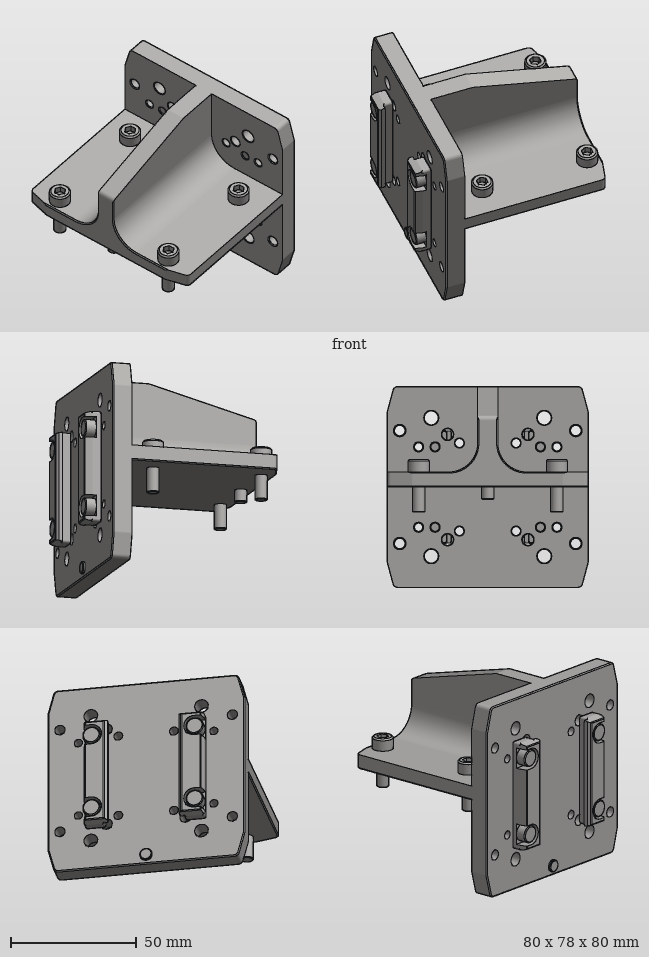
import cadquery as cq
import math

PLATE_SIZE = 80
PLATE_THICKNESS = 8
EDGE_CHAMFER = 0.5

BEVEL_ANGLE = 15
BEVEL_LENGTH = 10.0
BEVEL_DEPTH = BEVEL_LENGTH * math.tan(math.radians(BEVEL_ANGLE))
CORNER_RADIUS = 2.0

OVERALL_DEPTH = 78.0
CLAMP_HEIGHT = 7.0
FRONT_Y = CLAMP_HEIGHT - OVERALL_DEPTH
FLANGE_THICKNESS = 6.0
RIB_THICKNESS = 8
RIB_FILLET = 11.5
RIB_SLOPE_START_Y = -26.0
RIB_FRONT_Z = PLATE_SIZE / 2 - (RIB_SLOPE_START_Y - FRONT_Y) * math.tan(math.radians(BEVEL_ANGLE))
OVERLAP = 1.6

PLATE_HOLES = [
    (22.5, 27.5, 5.5, 6.0),
    (16, 21.0, 4.5, 5.0),
    (11.3, 17.5, 3.5, 4),
    (35.0, 22.5, 4.2, 5.0),
    (27.5, 16, 3.3, 4),
]

CLAMP_SCREW_X = 21.0
CLAMP_SCREW_Z = 16
CLAMP_SCREW_TIP_DIAMETER = 3.3
CLAMP_SCREW_MOUTH_DIAMETER = 4
CLAMP_HEAD_DIAMETER = 7.0
CLAMP_HEAD_TOP = 6.6
CLAMP_HEAD_CHAMFER = 0.4
CLAMP_POCKET_WIDTH = 8.5
CLAMP_POCKET_FLOOR = 2.2
CLAMP_LENGTH = 45.0
CLAMP_INNER_X = 16.2
CLAMP_OUTER_X = 24.5
CLAMP_LIP_X = 14.5
CLAMP_LIP_BOTTOM = 4.2
CLAMP_LIP_TOP = 5.8
CLAMP_TOP_INNER_X = 15.7
CLAMP_TAPER_START = 3.6
CLAMP_TAPER = (CLAMP_HEIGHT - CLAMP_TAPER_START) * math.tan(math.radians(BEVEL_ANGLE))
CLAMP_CORNER_RADIUS = 1.0
CLAMP_EDGE_CHAMFER = 0.3

SCREW_X = 27.5
SCREW_ROWS_Y = (-20.5, -65.5)
HEAD_DIAMETER = 8.5
HEAD_HEIGHT = 5.0
HEAD_CHAMFER = 0.6
SHANK_DIAMETER = 5.0
SHANK_END_Z = -10.0
SHANK_CHAMFER = 0.3
SOCKET_WIDTH = 4
SOCKET_DEPTH = 2.5

PIN_DIAMETER = 5.0
PIN_CHAMFER = 0.3
FLANGE_PIN_LENGTH = 5.0
FLANGE_PIN_Y = SCREW_ROWS_Y[1]
PLATE_PIN_LENGTH = 1.0
PLATE_PIN_Z = -36


def xz_plane(y):
    """Sketch plane facing -Y at the given Y, with local x = X and local y = Z."""
    return cq.Workplane("XZ", origin=(0, y, 0))


def make_plate():
    half = PLATE_SIZE / 2
    corner_x = half - BEVEL_DEPTH
    bevel_z = half - BEVEL_LENGTH
    outline = [
        (corner_x, half), (half, bevel_z), (half, -bevel_z), (corner_x, -half),
        (-corner_x, -half), (-half, -bevel_z), (-half, bevel_z), (-corner_x, half),
    ]
    plate = xz_plane(0).polyline(outline).close().extrude(PLATE_THICKNESS)
    return plate.edges("|Y").fillet(CORNER_RADIUS).faces(">Y").chamfer(EDGE_CHAMFER)


def make_bracket_section():
    """Flange and rib as one inverted T with filleted inner corners."""
    half = PLATE_SIZE / 2
    rib_x = RIB_THICKNESS / 2
    arc_x = rib_x + RIB_FILLET
    arc_z = FLANGE_THICKNESS + RIB_FILLET
    section = (
        xz_plane(OVERLAP - PLATE_THICKNESS)
        .moveTo(-half, 0)
        .lineTo(half, 0)
        .lineTo(half, FLANGE_THICKNESS)
        .lineTo(arc_x, FLANGE_THICKNESS)
        .radiusArc((rib_x, arc_z), RIB_FILLET)
        .lineTo(rib_x, half)
        .lineTo(-rib_x, half)
        .lineTo(-rib_x, arc_z)
        .radiusArc((-arc_x, FLANGE_THICKNESS), RIB_FILLET)
        .lineTo(-half, FLANGE_THICKNESS)
        .close()
        .extrude(OVERLAP - PLATE_THICKNESS - FRONT_Y)
    )
    return section.faces("<Y").chamfer(EDGE_CHAMFER)


def make_bracket_plan():
    """Plan outline of the flange with bevelled front corners and a chamfered underside."""
    half = PLATE_SIZE / 2
    back_y = OVERLAP - PLATE_THICKNESS
    bevel_x = half - BEVEL_LENGTH
    bevel_y = FRONT_Y + BEVEL_DEPTH
    outline = [
        (-half, back_y), (-half, bevel_y), (-bevel_x, FRONT_Y),
        (bevel_x, FRONT_Y), (half, bevel_y), (half, back_y),
    ]
    plan = cq.Workplane("XY").polyline(outline).close().extrude(half)
    plan = plan.edges("|Z and (not >Y)").fillet(CORNER_RADIUS)
    return plan.faces("<Z").chamfer(EDGE_CHAMFER)


def make_bracket_profile():
    """Side outline of the rib with its sloped top."""
    half = PLATE_SIZE / 2
    back_y = OVERLAP - PLATE_THICKNESS
    outline = [(back_y, 0), (back_y, half), (RIB_SLOPE_START_Y, half), (FRONT_Y, RIB_FRONT_Z), (FRONT_Y, 0)]
    profile = cq.Workplane("YZ").polyline(outline).close().extrude(half, both=True)
    return profile.edges("|X and (not <Z) and (not >Y)").fillet(CORNER_RADIUS)


def make_bracket():
    return make_bracket_section().intersect(make_bracket_plan()).intersect(make_bracket_profile())


def make_flange_screw():
    """Socket head screw standing on Z, with the underside of its head at Z = 0."""
    shank_length = FLANGE_THICKNESS - SHANK_END_Z
    head = cq.Workplane("XY").circle(HEAD_DIAMETER / 2).extrude(HEAD_HEIGHT)
    head = head.faces(">Z").chamfer(HEAD_CHAMFER)
    shank = cq.Workplane("XY").circle(SHANK_DIAMETER / 2).extrude(-shank_length)
    shank = shank.faces("<Z").chamfer(SHANK_CHAMFER)
    corner_diameter = SOCKET_WIDTH / math.cos(math.pi / 6)
    socket_floor = HEAD_HEIGHT - SOCKET_DEPTH
    socket = cq.Workplane("XY", origin=(0, 0, socket_floor)).polygon(6, corner_diameter).extrude(SOCKET_DEPTH)
    cone_radius = SOCKET_WIDTH / 2
    cone_depth = cone_radius * math.tan(math.pi / 6)
    cone = cq.Solid.makeCone(cone_radius, 0, cone_depth, cq.Vector(0, 0, socket_floor), cq.Vector(0, 0, -1))
    return head.union(shank).cut(socket).cut(cq.Workplane(cone))


def make_pin(length):
    """Chamfered pin end pointing along +Z from a root sunk below Z = 0."""
    pin = cq.Workplane("XY", origin=(0, 0, -OVERLAP)).circle(PIN_DIAMETER / 2).extrude(length + OVERLAP)
    return pin.faces(">Z").chamfer(PIN_CHAMFER)


def make_clamp():
    """Hooked rail on the +X side, running along Z, with a pocketed screw head near each end."""
    base = cq.Workplane("XZ").center((CLAMP_INNER_X + CLAMP_OUTER_X) / 2, 0)
    base = base.rect(CLAMP_OUTER_X - CLAMP_INNER_X, CLAMP_LENGTH).extrude(-CLAMP_HEIGHT)
    base = base.edges("|Y").fillet(CLAMP_CORNER_RADIUS).faces("<Y").chamfer(CLAMP_EDGE_CHAMFER)

    lip_outline = [
        (CLAMP_OUTER_X - CLAMP_CORNER_RADIUS, CLAMP_LIP_BOTTOM), (CLAMP_LIP_X, CLAMP_LIP_BOTTOM),
        (CLAMP_LIP_X, CLAMP_LIP_TOP), (CLAMP_TOP_INNER_X, CLAMP_HEIGHT),
        (CLAMP_OUTER_X - CLAMP_CORNER_RADIUS, CLAMP_HEIGHT),
    ]
    lip = cq.Workplane("XY").polyline(lip_outline).close().extrude(CLAMP_LENGTH / 2, both=True)
    lip = lip.edges("|Y and <X").fillet(CLAMP_CORNER_RADIUS)
    rail = base.union(lip)

    outer_taper = [
        (CLAMP_OUTER_X, CLAMP_TAPER_START), (CLAMP_OUTER_X, CLAMP_HEIGHT),
        (CLAMP_OUTER_X - CLAMP_TAPER, CLAMP_HEIGHT),
    ]
    rail = rail.cut(cq.Workplane("XY").polyline(outer_taper).close().extrude(CLAMP_LENGTH, both=True))
    for side in (-1, 1):
        end_z = side * CLAMP_LENGTH / 2
        end_taper = [
            (CLAMP_TAPER_START, end_z), (CLAMP_HEIGHT, end_z),
            (CLAMP_HEIGHT, end_z - side * CLAMP_TAPER),
        ]
        rail = rail.cut(cq.Workplane("YZ").polyline(end_taper).close().extrude(PLATE_SIZE))

    rail = rail.faces(">Y").chamfer(CLAMP_EDGE_CHAMFER)

    screw_points = [(CLAMP_SCREW_X, CLAMP_SCREW_Z), (CLAMP_SCREW_X, -CLAMP_SCREW_Z)]
    pocket_depth = CLAMP_HEIGHT - CLAMP_POCKET_FLOOR
    round_end = xz_plane(CLAMP_POCKET_FLOOR).pushPoints(screw_points)
    round_end = round_end.circle(CLAMP_POCKET_WIDTH / 2).extrude(-pocket_depth)
    opening_points = [(x + CLAMP_POCKET_WIDTH / 2, z) for x, z in screw_points]
    opening = xz_plane(CLAMP_POCKET_FLOOR).pushPoints(opening_points)
    opening = opening.rect(CLAMP_POCKET_WIDTH, CLAMP_POCKET_WIDTH).extrude(-pocket_depth)
    heads = xz_plane(CLAMP_POCKET_FLOOR).pushPoints(screw_points)
    heads = heads.circle(CLAMP_HEAD_DIAMETER / 2).extrude(CLAMP_POCKET_FLOOR - CLAMP_HEAD_TOP)
    heads = heads.faces(">Y").chamfer(CLAMP_HEAD_CHAMFER)
    return rail.cut(round_end).cut(opening).union(heads)


def in_quadrants(x, z):
    return [(x, z), (-x, z), (-x, -z), (x, -z)]


def mouth_cones(x, z, diameter, mouth_diameter):
    """45 degree countersinks in the front face of the plate, one per quadrant."""
    depth = (mouth_diameter - diameter) / 2
    cones = [
        cq.Solid.makeCone(
            mouth_diameter / 2, diameter / 2, depth,
            cq.Vector(px, -PLATE_THICKNESS, pz), cq.Vector(0, 1, 0),
        )
        for px, pz in in_quadrants(x, z)
    ]
    return cq.Workplane("XY").newObject(cones).combine()


def through_holes(x, z, diameter):
    return xz_plane(0).pushPoints(in_quadrants(x, z)).circle(diameter / 2).extrude(PLATE_THICKNESS)


plate = make_plate()
for hole_x, hole_z, hole_diameter, hole_mouth in PLATE_HOLES:
    plate = plate.cut(through_holes(hole_x, hole_z, hole_diameter))
    plate = plate.cut(mouth_cones(hole_x, hole_z, hole_diameter, hole_mouth))

plate = plate.cut(
    mouth_cones(CLAMP_SCREW_X, CLAMP_SCREW_Z, CLAMP_SCREW_TIP_DIAMETER, CLAMP_SCREW_MOUTH_DIAMETER)
)

result = plate.union(make_bracket())

for screw_y in SCREW_ROWS_Y:
    for screw_x in (-SCREW_X, SCREW_X):
        result = result.union(make_flange_screw().translate((screw_x, screw_y, FLANGE_THICKNESS)))

flange_pin = make_pin(FLANGE_PIN_LENGTH).rotate((0, 0, 0), (1, 0, 0), 180)
plate_pin = make_pin(PLATE_PIN_LENGTH).rotate((0, 0, 0), (1, 0, 0), -90)
result = result.union(flange_pin.translate((0, FLANGE_PIN_Y, 0)))
result = result.union(plate_pin.translate((0, 0, PLATE_PIN_Z)))

clamp = make_clamp()
result = result.union(clamp).union(clamp.mirror("YZ"))